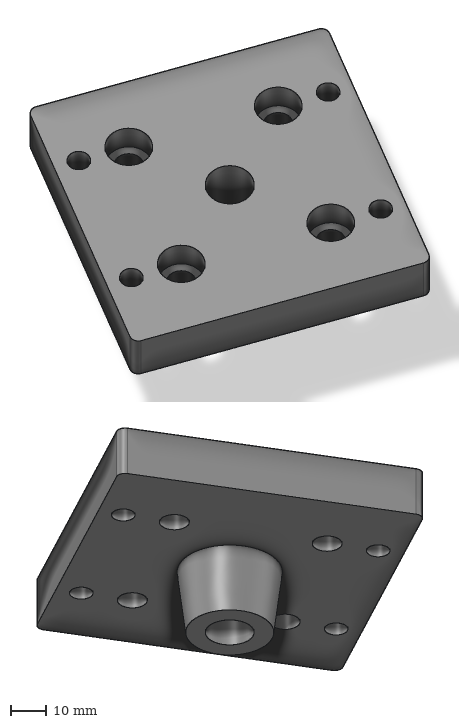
import cadquery as cq

plate_side = 90
plate_thickness = 15.0
corner_radius = 2.5

total_height = 35.0
hub_height = total_height - plate_thickness
hub_top_diameter = 30.0
hub_bottom_diameter = 25.0
bore_diameter = 13.9

screw_spacing = plate_side / 2
screw_diameter = 8.5
counterbore_diameter = 13.5
counterbore_depth = 8.5

pin_diameter = 6.7
pin_spacing_y = 75.1


def make_plate():
    """Plate with rounded vertical corners; its underside lies at Z = 0."""
    plate = cq.Workplane("XY").rect(plate_side, plate_side).extrude(plate_thickness)
    return plate.edges("|Z").fillet(corner_radius)


def make_hub():
    """Cone frustum hanging from the plate's underside."""
    hub = cq.Workplane("XY").circle(hub_top_diameter / 2)
    hub = hub.workplane(offset=-hub_height).circle(hub_bottom_diameter / 2)
    return hub.loft(ruled=True)


def drill_holes(body):
    """Central bore, counterbored screw holes and plain pin holes."""
    top = cq.Workplane("XY").workplane(offset=plate_thickness)
    bore = top.circle(bore_diameter / 2).extrude(-total_height)
    screws = top.rect(screw_spacing, screw_spacing, forConstruction=True).vertices()
    screw_holes = screws.circle(screw_diameter / 2).extrude(-plate_thickness)
    counterbores = screws.circle(counterbore_diameter / 2).extrude(-counterbore_depth)
    pins = top.rect(screw_spacing, pin_spacing_y, forConstruction=True).vertices()
    pin_holes = pins.circle(pin_diameter / 2).extrude(-plate_thickness)
    for holes in (bore, screw_holes, counterbores, pin_holes):
        body = body.cut(holes)
    return body


result = drill_holes(make_plate().union(make_hub()))